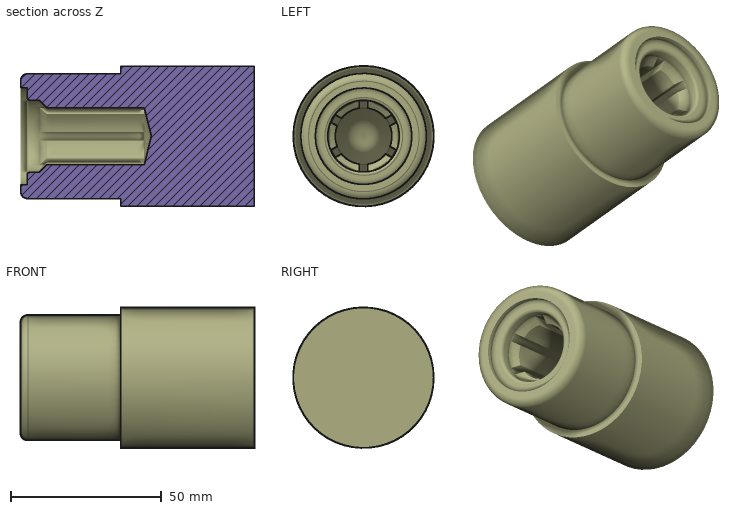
import cadquery as cq
import math

total_length = 77.65
nose_length = 33.2
sleeve_diameter = 46.7
nose_diameter = 41.6
nose_fillet = 2.5

recess_diameter = 32.0
recess_depth = 2.2

entry_diameter = 23.75
mouth_fillet = 1.0
entry_depth = 4.1
bore_diameter = 18.8
lead_in_length = 2.5
bore_depth = 38.8
bottom_cone_angle = 152.0

slot_count = 6
slot_width = 2.9
slot_floor_height = 11.7
slot_end_depth = 38.8

body_start = -total_length / 2
nose_end = body_start + nose_length
socket_start = body_start + recess_depth
entry_end = socket_start + entry_depth
lead_in_end = entry_end + lead_in_length
bore_end = socket_start + bore_depth
slot_end = socket_start + slot_end_depth


def cylinder(diameter, start, end):
    """Solid cylinder along X between two axial positions."""
    return cq.Workplane("YZ", origin=(start, 0, 0)).circle(diameter / 2).extrude(end - start)


def make_body():
    """Nose with a rounded front rim, joined to the wider sleeve."""
    nose = cylinder(nose_diameter, body_start, nose_end).faces("<X").edges().fillet(nose_fillet)
    return nose.union(cylinder(sleeve_diameter, nose_end, total_length / 2))


def make_socket():
    """Revolved volume of the recess and the socket behind it."""
    entry_radius = entry_diameter / 2
    bore_radius = bore_diameter / 2
    cone_length = bore_radius / math.tan(math.radians(bottom_cone_angle / 2))
    arc_offset = mouth_fillet * (1 - math.sqrt(0.5))
    return (
        cq.Workplane("XY")
        .moveTo(body_start, 0)
        .lineTo(body_start, recess_diameter / 2)
        .lineTo(socket_start, recess_diameter / 2)
        .lineTo(socket_start, entry_radius + mouth_fillet)
        .threePointArc(
            (socket_start + arc_offset, entry_radius + arc_offset),
            (socket_start + mouth_fillet, entry_radius),
        )
        .lineTo(entry_end, entry_radius)
        .lineTo(lead_in_end, bore_radius)
        .lineTo(bore_end, bore_radius)
        .lineTo(bore_end + cone_length, 0)
        .close()
        .revolve(360, (0, 0, 0), (1, 0, 0))
    )


def make_slots():
    """Keyways evenly spaced about X, with flat floors just inside the entry bore."""
    slot_length = slot_end - entry_end
    blank = cq.Workplane("XY").box(
        slot_length, slot_width, slot_floor_height, centered=(False, True, False)
    ).translate((entry_end, 0, 0))
    slots = cq.Workplane("XY")
    for index in range(slot_count):
        slots = slots.add(blank.rotate((0, 0, 0), (1, 0, 0), index * 360 / slot_count))
    return slots.combine()


result = make_body().cut(make_socket()).cut(make_slots())